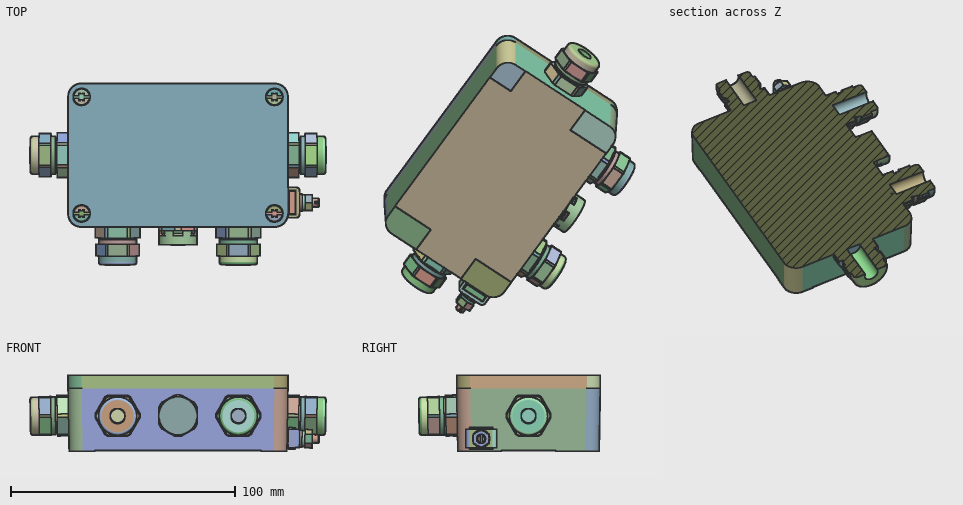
import cadquery as cq
import math

overall_length = 131.9
overall_width = 81.0

box_height = 34.0
lid_height = 5.9
corner_radius = 6.0
draft_angle = 1.0
body_height = box_height - lid_height
foot_height = 0.4
foot_inner_x = 37.0
foot_inner_y = 12.1
short_foot_inner_y = 20.2

screw_inset = corner_radius
screw_hole_radius = 3.8
screw_head_radius = 3.5
screw_recess_depth = 0.8
screw_slot_width = 1.2
cross_length = 3.4
cross_width = 2.4
cross_notch_width = 1.2
cross_notch_depth = 0.4

corner_up = 30
embed = 1.3
fitting_height = 16.0
front_gland_spacing = 53.8
terminal_height = 5.8
terminal_y = -21.1

gland_base_length = 5.0
gland_base_flats = 18.0
gland_base_corners = 20.0
gland_groove_length = 0.8
gland_groove_diameter = 16.1
gland_collar_length = 2.0
gland_body_diameter = 17.0
gland_nut_length = 5.3
gland_nut_flats = 17.3
gland_nut_corners = 19.4
gland_end_length = 4.0
gland_end_fillet = 1.3
gland_bore_diameter = 6.6

plug_flange_length = 1.7
plug_flange_flats = 17.3
plug_flange_corners = 18.5
plug_length = 8.0
plug_diameter = 17.1
plug_notch_count = 6
plug_notch_width = 4.4
plug_notch_length = 2.2
plug_core_diameter = 14.5
plug_rib_diameter = 15.5

clamp_length = 13.7
clamp_height = 8.2
clamp_gap = 0.4
clamp_depth = 5.5
clamp_edge_radius = 1.7
pad_length = 11.0
pad_rise = 0.8
pad_depth = 3.8
pad_slope = 0.4
washer_thickness = 1.0
washer_diameter = 7.6
spring_washer_thickness = 1.3
spring_washer_diameter = 7.1
terminal_nut_length = 3.3
terminal_nut_flats = 7.1
stud_length = 14.2
stud_diameter = 4.0
stud_root_diameter = 5.3
stud_chamfer = 0.4
stud_slot_width = 0.8
stud_slot_depth = 1.8

draft = math.radians(draft_angle)
gland_length = (
    gland_base_length + gland_groove_length + gland_collar_length + gland_nut_length + gland_end_length
)
gland_reach = (
    (gland_length - gland_end_fillet) * math.cos(draft)
    + (gland_body_diameter / 2 - gland_end_fillet) * math.sin(draft)
    + gland_end_fillet
)
wall_inset = (body_height - fitting_height) * math.tan(draft)
box_length = overall_length - 2 * (gland_reach - wall_inset)
box_width = overall_width - (gland_reach - wall_inset)


def cylinder(diameter, start, length):
    return cq.Workplane("XY").workplane(offset=start).circle(diameter / 2).extrude(length)


def hexagon(flats, start, length, turn=0):
    """Hexagonal prism along Z with flats facing +Y and -Y, turned about Z by an angle in degrees."""
    across_corners = flats / math.cos(math.pi / 6)
    prism = cq.Workplane("XY").workplane(offset=start).polygon(6, across_corners).extrude(length)
    return prism.rotate((0, 0, 0), (0, 0, 1), turn)


def trimmed_hexagon(flats, corners, start, length, turn=0):
    """Hexagonal prism whose corners are turned down to a smaller diameter."""
    return hexagon(flats, start, length, turn).intersect(cylinder(corners, start, length))


def rounded_block(start, height, taper=0):
    """Lid outline extruded up or down from a height, its four upright edges rounded to one radius."""
    block = cq.Workplane("XY").workplane(offset=start).rect(box_length, box_width)
    return block.extrude(height, taper=taper).edges("not #Z").fillet(corner_radius)


def make_enclosure():
    lid = rounded_block(body_height, lid_height)
    body = rounded_block(body_height, -body_height, draft_angle)
    return lid.union(body)


def base_relief():
    """Shallow slab under the base, less the four corner feet."""
    relief = cq.Workplane("XY").box(box_length, box_width, foot_height, centered=(True, True, False))
    for x_side in (-1, 1):
        for y_side in (-1, 1):
            is_short = x_side < 0 < y_side
            inner_y = short_foot_inner_y if is_short else foot_inner_y
            foot_length = box_length / 2 - foot_inner_x
            foot_width = box_width / 2 - inner_y
            foot = cq.Workplane("XY").box(foot_length, foot_width, foot_height, centered=(True, True, False))
            foot_x = x_side * (foot_inner_x + foot_length / 2)
            foot_y = y_side * (inner_y + foot_width / 2)
            relief = relief.cut(foot.translate((foot_x, foot_y, 0)))
    return relief


def screw_recesses():
    """Ring around each screw head, with a straight slot and a short notched cross in the head."""
    ring = cylinder(2 * screw_hole_radius, 0, screw_recess_depth)
    ring = ring.cut(cylinder(2 * screw_head_radius, 0, screw_recess_depth))
    slot = cq.Workplane("XY").rect(2 * screw_head_radius, screw_slot_width).extrude(screw_recess_depth)
    cross = cq.Workplane("XY").rect(cross_width, cross_length).extrude(screw_recess_depth)
    notches = (
        cq.Workplane("XY")
        .rarray(1.3, cross_length, 1, 2)
        .rect(cross_notch_width, 2 * cross_notch_depth)
        .extrude(screw_recess_depth)
    )
    recess = ring.union(slot).union(cross.cut(notches))
    screw_grid = cq.Workplane("XY").workplane(offset=box_height - screw_recess_depth).rect(
        box_length - 2 * screw_inset, box_width - 2 * screw_inset, forConstruction=True
    )
    return screw_grid.vertices().eachpoint(lambda place: recess.val().moved(place), combine=False)


def make_gland():
    base_end = gland_base_length
    groove_end = base_end + gland_groove_length
    collar_end = groove_end + gland_collar_length
    body = cylinder(gland_body_diameter, groove_end, gland_length - groove_end)
    body = body.faces(">Z").edges().fillet(gland_end_fillet)
    base = trimmed_hexagon(gland_base_flats, gland_base_corners, -embed, embed + gland_base_length)
    nut = trimmed_hexagon(gland_nut_flats, gland_nut_corners, collar_end, gland_nut_length)
    groove = cylinder(gland_groove_diameter, base_end, gland_groove_length)
    bore = cylinder(gland_bore_diameter, 0, gland_length)
    return base.union(groove).union(body).union(nut).cut(bore)


def make_plug():
    flange = trimmed_hexagon(
        plug_flange_flats, plug_flange_corners, -embed, embed + plug_flange_length, corner_up
    )
    cap = cylinder(plug_diameter, plug_flange_length, plug_length - plug_flange_length)
    for i in range(plug_notch_count):
        notch = (
            cq.Workplane("XY")
            .workplane(offset=plug_flange_length)
            .center(0, plug_diameter / 2)
            .rect(plug_notch_width, plug_diameter / 2)
            .extrude(plug_notch_length)
        )
        cap = cap.cut(notch.rotate((0, 0, 0), (0, 0, 1), i * 360 / plug_notch_count))
    core = cylinder(plug_core_diameter, plug_flange_length, plug_notch_length)
    rib = cylinder(plug_rib_diameter, plug_flange_length, plug_notch_length / 2)
    return flange.union(cap).union(core).union(rib)


def make_terminal():
    clamp = (
        cq.Workplane("XY")
        .workplane(offset=clamp_gap)
        .rect(clamp_length, clamp_height)
        .extrude(clamp_depth - clamp_gap)
        .faces(">Z")
        .edges("|Y")
        .fillet(clamp_edge_radius)
    )
    pad_thickness = pad_depth - clamp_gap
    pad = (
        cq.Workplane("XZ")
        .workplane(offset=clamp_height / 2)
        .center(0, clamp_gap + pad_thickness / 2)
        .rect(pad_length, pad_thickness)
        .extrude(pad_rise, taper=math.degrees(math.atan(pad_slope / pad_rise)))
    )
    pads = pad.union(pad.mirror("XZ"))
    washer_end = clamp_depth + washer_thickness
    spring_washer_end = washer_end + spring_washer_thickness
    washer = cylinder(washer_diameter, clamp_depth, washer_thickness)
    spring_washer = cylinder(spring_washer_diameter, washer_end, spring_washer_thickness)
    nut = hexagon(terminal_nut_flats, spring_washer_end, terminal_nut_length, corner_up)
    stud = cylinder(stud_diameter, 0, stud_length).faces(">Z").chamfer(stud_chamfer)
    root = cylinder(stud_root_diameter, -embed, embed + clamp_depth)
    slot = (
        cq.Workplane("XY")
        .workplane(offset=stud_length - stud_slot_depth)
        .rect(stud_slot_width, stud_diameter)
        .extrude(stud_slot_depth)
    )
    return root.union(clamp).union(pads).union(washer).union(spring_washer).union(nut).union(stud.cut(slot))


def on_wall(fitting, facing, along, height):
    """Stand a fitting built along +Z square on a drafted wall; facing is the wall's (x, y) direction."""
    facing_x, facing_y = facing
    half_size = box_length / 2 if facing_x else box_width / 2
    distance = half_size - (body_height - height) * math.tan(draft)
    origin = (
        facing_x * distance + abs(facing_y) * along,
        facing_y * distance + abs(facing_x) * along,
        height,
    )
    outward = (facing_x * math.cos(draft), facing_y * math.cos(draft), -math.sin(draft))
    sideways = (-facing_y, facing_x, 0)
    wall = cq.Plane(origin=origin, xDir=sideways, normal=outward)
    return fitting.val().moved(cq.Location(wall))


left_wall = (-1, 0)
right_wall = (1, 0)
front_wall = (0, -1)

gland = make_gland()
result = make_enclosure().cut(base_relief()).cut(screw_recesses())
for side_wall in (left_wall, right_wall):
    result = result.union(on_wall(gland, side_wall, 0, fitting_height))
for gland_x in (-front_gland_spacing / 2, front_gland_spacing / 2):
    result = result.union(on_wall(gland, front_wall, gland_x, fitting_height))
result = result.union(on_wall(make_plug(), front_wall, 0, fitting_height))
result = result.union(on_wall(make_terminal(), right_wall, terminal_y, terminal_height))